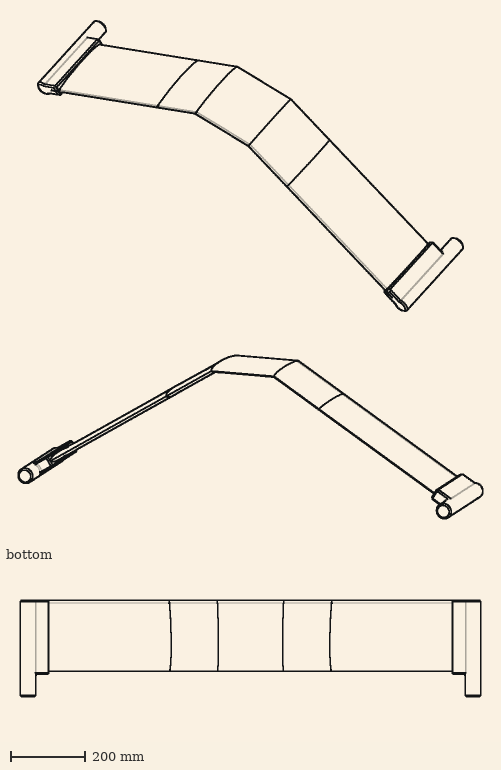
import cadquery as cq
import math

span = 1241.0
height = 349.0
tube_length = 261.0
tube_radius = 21.0
edge_chamfer = 4.3
mid_x = span / 2

blade_depth = 192.0
crown_y = 127.0
crown_z = 10.0
lip_depth = 7.0
lip_z = 1.0

fold_half_width = 89.0
joint_to_fold = 153.0
fold_x = mid_x - fold_half_width
fold_z = height - crown_z
wing_angle = math.atan2(fold_z - tube_radius, fold_x - tube_radius)
wing_length = math.hypot(fold_z - tube_radius, fold_x - tube_radius)
joint_distance = wing_length - joint_to_fold

neck_length = 58.0
neck_depth = 200.0
neck_thickness = 34.0
junction_radius = 4.0
socket_depth = 26.0
socket_start = neck_length - socket_depth


def wing_point(distance):
    """Point on the left blade axis at a distance from the tube centre."""
    x = tube_radius + distance * math.cos(wing_angle)
    z = tube_radius + distance * math.sin(wing_angle)
    return cq.Vector(x, 0, z)


def mirrored_point(point):
    """The same point on the right side of the part."""
    return cq.Vector(span - point.x, point.y, point.z)


def upper_curve_points():
    """Upper side behind the lip: a shallow parabola up to the crown, then a quarter ellipse."""
    front_run = crown_y - lip_depth
    rear_run = blade_depth - crown_y
    halfway_drop = (crown_z - lip_z) / 4
    points = [(crown_y - front_run / 2, crown_z - halfway_drop)]
    for degrees in (90, 60, 30, 0):
        angle = math.radians(degrees)
        points.append((crown_y + rear_run * math.cos(angle), crown_z * math.sin(angle)))
    return points


def blade_along(points):
    """Blade section swept along straight runs with mitred folds."""
    direction = points[1] - points[0]
    section_plane = cq.Plane(origin=points[0], xDir=(0, 1, 0), normal=direction)
    section = (
        cq.Workplane(section_plane)
        .lineTo(lip_depth, lip_z)
        .spline(upper_curve_points(), tangents=[(lip_depth, lip_z), (0, -1)], includeCurrent=True)
        .mirrorX()
    )
    path = cq.Workplane(cq.Wire.makePolygon(points))
    return section.sweep(path, transition="right")


def make_center_blade():
    """Flat top with a short sloping run on each side, as one folded blade."""
    left_joint = wing_point(joint_distance)
    left_fold = wing_point(wing_length)
    return blade_along([left_joint, left_fold, mirrored_point(left_fold), mirrored_point(left_joint)])


def make_wing():
    """Straight left blade from the socket bottom up to the joint with the centre blade."""
    return blade_along([wing_point(socket_start), wing_point(joint_distance)])


def make_end_fitting(wing):
    """Tube and neck as one solid, with a socket that fits the wing end."""
    tube = cq.Workplane("XZ").circle(tube_radius).extrude(-tube_length).faces(">Y").chamfer(edge_chamfer)
    neck = (
        cq.Workplane("XY")
        .box(neck_length, neck_depth, neck_thickness, centered=(False, False, True))
        .faces(">Y or >X")
        .chamfer(edge_chamfer)
    )
    junction = cq.selectors.BoxSelector(
        (tube_radius / 2, 0, -tube_radius),
        (tube_radius + junction_radius, neck_depth + junction_radius, tube_radius),
    )
    fitting = tube.union(neck).edges(junction).fillet(junction_radius)
    fitting = fitting.faces("<Y").chamfer(edge_chamfer)
    fitting = fitting.rotate((0, 0, 0), (0, 1, 0), -math.degrees(wing_angle))
    fitting = fitting.translate((tube_radius, 0, tube_radius))
    return fitting.cut(wing).solids()


def mirrored(body):
    """Copy of a left body on the right side."""
    return body.mirror("YZ").translate((span, 0, 0))


center_blade = make_center_blade()
left_wing = make_wing()
left_fitting = make_end_fitting(left_wing)

bodies = [center_blade.val()]
for left_body in (left_wing, left_fitting):
    bodies.append(left_body.val())
    bodies.append(mirrored(left_body).val())

result = cq.Compound.makeCompound(bodies)